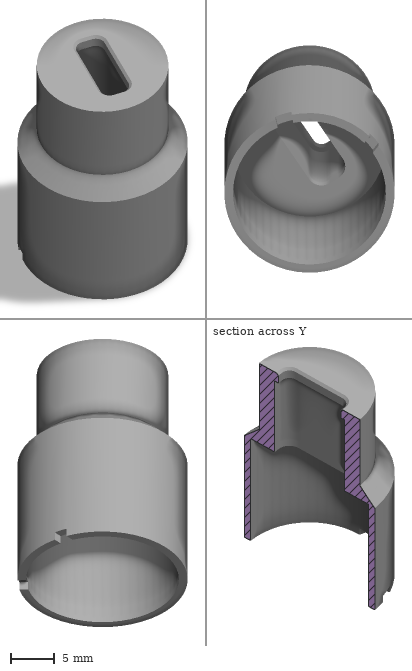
import cadquery as cq
import math

body_diameter = 19.4
neck_diameter = 15.0
total_height = 28.0
body_height = 15.65
shoulder_height = (body_diameter - neck_diameter) / 2

bore_diameter = 17.4
bore_depth = body_height

slot_length = 9.2
slot_width = 3.46
slot_corner_radius = 1.1
mouth_chamfer = 0.3
lip_thickness = 1.45

cavity_offset = 0.55

notch_height = 1.0
notches = [
    (195.1, 20.0, 1.88),
    (262.3, 70.0, 1.5),
]


def make_outer_body():
    body_radius = body_diameter / 2
    neck_radius = neck_diameter / 2
    profile = (
        cq.Workplane("XZ")
        .moveTo(0, 0)
        .lineTo(body_radius, 0)
        .lineTo(body_radius, body_height)
        .lineTo(neck_radius, body_height + shoulder_height)
        .lineTo(neck_radius, total_height)
        .lineTo(0, total_height)
        .close()
    )
    return profile.revolve(360, (0, 0, 0), (0, 1, 0))


def make_bore():
    return cq.Workplane("XY").circle(bore_diameter / 2).extrude(bore_depth)


def rounded_prism(offset, bottom, top):
    """Vertical prism with the slot outline grown outward by offset."""
    return (
        cq.Workplane("XY", origin=(0, 0, bottom))
        .rect(slot_length + 2 * offset, slot_width + 2 * offset)
        .extrude(top - bottom)
        .edges("|Z")
        .fillet(slot_corner_radius + offset)
    )


def make_slot():
    """Slot through the lip, its mouth chamfer and the wider cavity below."""
    lip_bottom = total_height - lip_thickness
    mouth_bottom = total_height - mouth_chamfer
    slot = rounded_prism(0, bore_depth, total_height)
    mouth = rounded_prism(0, mouth_bottom, total_height).faces("<Z").wires().toPending()
    mouth = mouth.workplane(invert=True).extrude(mouth_chamfer, taper=-45)
    cavity = rounded_prism(cavity_offset, bore_depth, lip_bottom)
    return slot.union(mouth).union(cavity)


def make_notch(rim_angle, direction, width):
    """Straight-sided cutter that crosses the bore wall at one place on the rim."""
    body_radius = body_diameter / 2
    wall_thickness = (body_diameter - bore_diameter) / 2
    cutter_length = 4 * wall_thickness
    rim_x = body_radius * math.cos(math.radians(rim_angle))
    rim_y = body_radius * math.sin(math.radians(rim_angle))
    cutter = cq.Workplane("XY").rect(cutter_length, width).extrude(notch_height)
    return cutter.rotate((0, 0, 0), (0, 0, 1), direction).translate((rim_x, rim_y, 0))


result = make_outer_body().cut(make_bore()).cut(make_slot())
for rim_angle, direction, width in notches:
    result = result.cut(make_notch(rim_angle, direction, width))